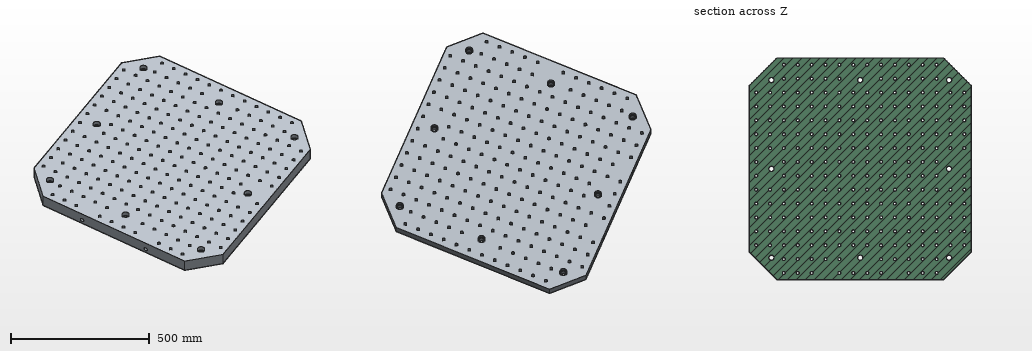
import cadquery as cq
import math

PLATE_SIDE = 800.0
PLATE_THICKNESS = 50.0
CORNER_CUT = 100.0

GRID_PITCH = 50.0
GRID_COUNT = 16
GRID_HOLE_DIAMETER = 10.11
GRID_EDGE = GRID_PITCH * (GRID_COUNT - 1) / 2
HALF_PITCH = GRID_PITCH / 2

MOUNT_OFFSET = 320.0
MOUNT_HOLE_DIAMETER = 18.0
COUNTERBORE_DIAMETER = 26.0
COUNTERBORE_DEPTH = 18.0
MOUNT_CLEARANCE = HALF_PITCH

SIDE_HOLE_OFFSET = 135.0
SIDE_HOLE_HEIGHT = 18.0
SIDE_HOLE_DIAMETER = 14.0
SIDE_HOLE_DEPTH = 40.0
DRILL_POINT_ANGLE = 118.0

SIDE_HOLE_COLUMN = HALF_PITCH + 2 * GRID_PITCH
EMPTY_GRID_PLACES = [
    (-SIDE_HOLE_COLUMN, -GRID_EDGE),
    (SIDE_HOLE_COLUMN, -GRID_EDGE),
    (GRID_EDGE, HALF_PITCH),
]


def mount_points():
    """Eight places around a square, without its centre."""
    offsets = (-MOUNT_OFFSET, 0, MOUNT_OFFSET)
    return [(x, y) for x in offsets for y in offsets if (x, y) != (0, 0)]


def near_mount(x, y):
    """True where a grid hole would crowd a mounting hole."""
    return any(
        max(abs(x - mount_x), abs(y - mount_y)) <= MOUNT_CLEARANCE
        for mount_x, mount_y in mount_points()
    )


def in_cut_corner(x, y):
    """True where a grid hole would break into or past a cut corner."""
    cut_line_sum = PLATE_SIDE - CORNER_CUT
    return abs(x) + abs(y) > cut_line_sum - GRID_HOLE_DIAMETER


def grid_points():
    """Grid places that carry a hole."""
    coordinates = [i * GRID_PITCH - GRID_EDGE for i in range(GRID_COUNT)]
    return [
        (x, y)
        for x in coordinates
        for y in coordinates
        if not near_mount(x, y)
        and not in_cut_corner(x, y)
        and (x, y) not in EMPTY_GRID_PLACES
    ]


def make_plate():
    return (
        cq.Workplane("XY")
        .rect(PLATE_SIDE, PLATE_SIDE)
        .extrude(PLATE_THICKNESS)
        .edges("|Z")
        .chamfer(CORNER_CUT)
    )


def cut_grid_holes(plate):
    drills = (
        cq.Workplane("XY")
        .pushPoints(grid_points())
        .circle(GRID_HOLE_DIAMETER / 2)
        .extrude(PLATE_THICKNESS)
    )
    return plate.cut(drills)


def cut_mount_holes(plate):
    return (
        plate.faces(">Z")
        .workplane(origin=(0, 0, PLATE_THICKNESS))
        .pushPoints(mount_points())
        .cboreHole(MOUNT_HOLE_DIAMETER, COUNTERBORE_DIAMETER, COUNTERBORE_DEPTH)
    )


def cut_side_holes(plate):
    """Drilled blind holes with a conical bottom, running along +Y."""
    radius = SIDE_HOLE_DIAMETER / 2
    tip_length = radius / math.tan(math.radians(DRILL_POINT_ANGLE / 2))
    drill_profile = [
        (0, 0),
        (radius, 0),
        (radius, SIDE_HOLE_DEPTH),
        (0, SIDE_HOLE_DEPTH + tip_length),
    ]
    drill = cq.Workplane("XY").polyline(drill_profile).close().revolve(360, (0, 0, 0), (0, 1, 0))
    for x in (-SIDE_HOLE_OFFSET, SIDE_HOLE_OFFSET):
        plate = plate.cut(drill.translate((x, -PLATE_SIDE / 2, SIDE_HOLE_HEIGHT)))
    return plate


result = make_plate()
result = cut_grid_holes(result)
result = cut_mount_holes(result)
result = cut_side_holes(result)